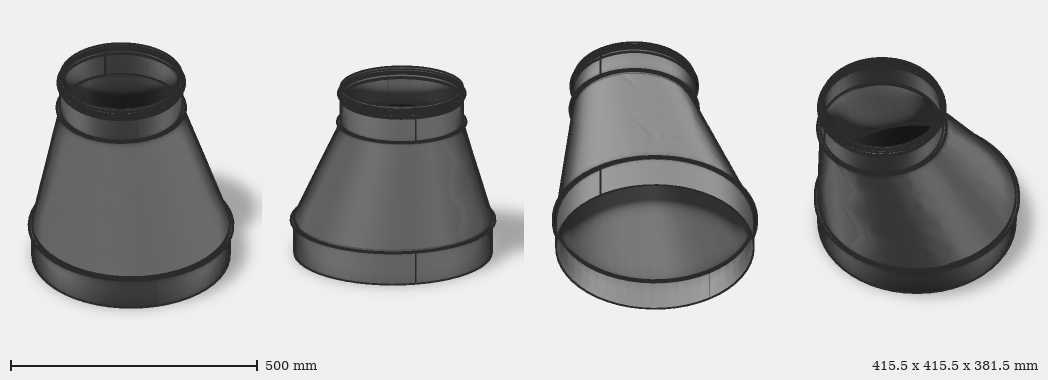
import cadquery as cq
import math

sheet = 0.62
bend = 1.05
slit = 0.5

base_radius = 401.5 / 2
spigot_radius = 249.0 / 2
total_height = 381.5
lower_seam = 69.5
upper_seam = 306.0
spigot_x = spigot_radius - base_radius

cone_flange_width = 7.0
collar_flange_width = 5.0
neck_height = 4.0

rim_inner_radius = 243.2 / 2
rim_fold_bottom = 371.5
groove_radius = 245.3 / 2
groove_bottom = 356.3
groove_top = 376.0
groove_slope = 3.7

seal_radius = 247.0 / 2
bead_start = 374.0
bead_shoulder_radius = 252.0 / 2
bead_shoulder = 373.0
bead_radius = 254.5 / 2
bead_top = 371.5
bead_bottom = 370.0
lip_radius = 259.5 / 2
lip_top = 367.0
lip_bottom = 365.5


def turned(section, axis_x):
    """Ring made by turning a closed (radius, height) section about the vertical line at axis_x."""
    return section.close().revolve(360, (0, 0, 0), (0, 1, 0)).translate((axis_x, 0, 0))


def arc(section, center, radius, start, end):
    """Continue the section, which stands at the start angle, with an arc to the end angle (degrees)."""
    def on_arc(degrees):
        angle = math.radians(degrees)
        return (center[0] + radius * math.cos(angle), center[1] + radius * math.sin(angle))

    return section.threePointArc(on_arc((start + end) / 2), on_arc(end))


def with_slit(collar, axis_x, radius):
    """Cut the open joint through the -X side of a collar, over its whole height."""
    reach = 2 * collar_flange_width
    gap = cq.Workplane("XY").box(2 * reach, slit, total_height, centered=(True, True, False))
    return collar.cut(gap.translate((axis_x - radius, 0, 0)))


def make_base_collar():
    inner = base_radius - sheet
    edge = base_radius + collar_flange_width
    bend_center = (base_radius + bend, lower_seam - sheet - bend)
    section = cq.Workplane("XZ").moveTo(inner, 0).lineTo(base_radius, 0)
    section = section.lineTo(base_radius, bend_center[1])
    section = arc(section, bend_center, bend, 180, 90)
    section = section.lineTo(edge, lower_seam - sheet).lineTo(edge, lower_seam)
    section = section.lineTo(bend_center[0], lower_seam)
    section = arc(section, bend_center, bend + sheet, 90, 180)
    return with_slit(turned(section, 0), 0, base_radius)


def make_spigot():
    inner = spigot_radius - sheet
    groove_inner = groove_radius - sheet
    edge = spigot_radius + collar_flange_width
    bend_center = (spigot_radius + bend, upper_seam + sheet + bend)
    rim_round = (spigot_radius - rim_inner_radius) / 2
    rim_center = (rim_inner_radius + rim_round, total_height - rim_round)
    groove_floor_bottom = groove_bottom + groove_slope

    section = cq.Workplane("XZ").moveTo(bend_center[0], upper_seam)
    section = section.lineTo(edge, upper_seam).lineTo(edge, upper_seam + sheet)
    section = section.lineTo(bend_center[0], upper_seam + sheet)
    section = arc(section, bend_center, bend, 270, 180)
    section = section.lineTo(spigot_radius, groove_bottom)
    section = arc(section, (spigot_radius - bend, groove_bottom), bend, 0, 90)
    section = section.lineTo(groove_radius, groove_floor_bottom)
    section = section.lineTo(groove_radius, groove_top)
    section = section.lineTo(spigot_radius, groove_top)
    section = section.lineTo(spigot_radius, rim_center[1])
    section = arc(section, rim_center, rim_round, 0, 180)
    section = section.lineTo(rim_inner_radius, rim_fold_bottom)
    section = section.lineTo(groove_inner, rim_fold_bottom)
    section = section.lineTo(groove_inner, groove_floor_bottom - bend)
    section = section.lineTo(inner, groove_bottom - bend)
    section = section.lineTo(inner, bend_center[1])
    section = arc(section, bend_center, bend + sheet, 180, 270)
    return with_slit(turned(section, spigot_x), spigot_x, spigot_radius)


def disc(axis_x, radius, bottom, top):
    return cq.Workplane("XY", origin=(axis_x, 0, bottom)).circle(radius).extrude(top - bottom)


def cone_volume(inset):
    """Filled shape of the cone and its straight necks, with all radii reduced by inset."""
    slope_bottom = lower_seam + sheet + neck_height
    slope_top = upper_seam - sheet - neck_height
    slope = (
        cq.Workplane("XY", origin=(0, 0, slope_bottom))
        .circle(base_radius - inset)
        .workplane(offset=slope_top - slope_bottom)
        .center(spigot_x, 0)
        .circle(spigot_radius - inset)
        .loft(ruled=True)
    )
    lower_neck = disc(0, base_radius - inset, lower_seam, slope_bottom)
    upper_neck = disc(spigot_x, spigot_radius - inset, slope_top, upper_seam)
    return slope.union(lower_neck).union(upper_neck)


def make_cone():
    lower_flange = disc(0, base_radius + cone_flange_width, lower_seam, lower_seam + sheet)
    upper_flange = disc(spigot_x, spigot_radius + cone_flange_width, upper_seam - sheet, upper_seam)
    return cone_volume(0).union(lower_flange).union(upper_flange).cut(cone_volume(sheet))


def make_seal():
    section = cq.Workplane("XZ").polyline([
        (groove_radius, lip_bottom),
        (lip_radius, lip_bottom),
        (lip_radius, lip_top),
        (seal_radius, lip_top),
        (seal_radius, bead_bottom),
        (bead_radius, bead_bottom),
        (bead_radius, bead_top),
        (bead_shoulder_radius, bead_shoulder),
        (spigot_radius, bead_start),
        (spigot_radius, groove_top),
        (groove_radius, groove_top),
    ])
    return turned(section, spigot_x)


base_collar = make_base_collar()
spigot = make_spigot()
cone = make_cone()
seal = make_seal()

result = cq.Compound.makeCompound([base_collar.val(), spigot.val(), cone.val(), seal.val()])